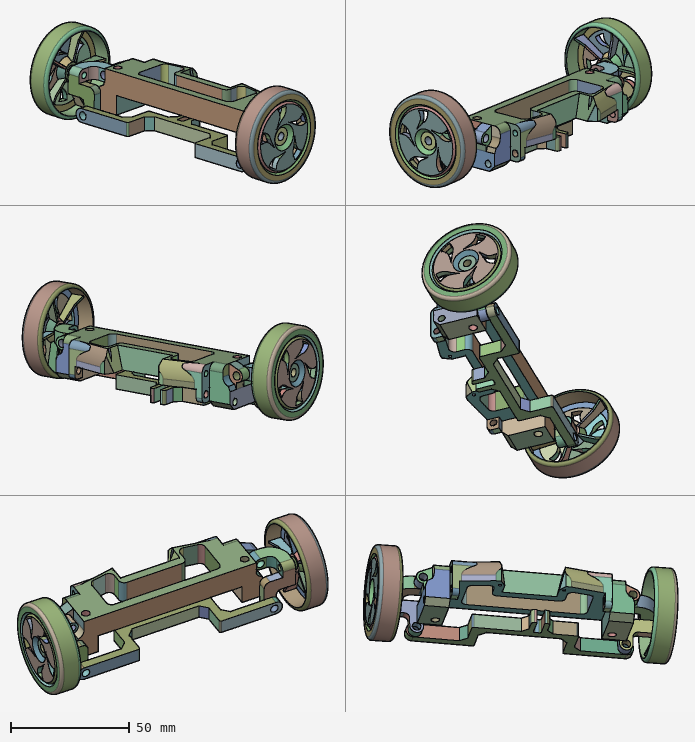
import cadquery as cq
import math


KINGPIN_X = 45.1
PIN_RADIUS = 1.8
EYE_RADIUS = 3.0
STEER_ANGLE = 0.7
STEER_ARM = 15.0
LEFT, RIGHT = -1, 1

TOP_Z, UNDERSIDE_Z = 4.9, -5.7
FRONT_Y = 2.3
BEAM_BACK_Y = 6.5
BLOCK_X = 41.2
BLOCK_BACK_Y = 22.0
BLOCK_INNER_X = 25.8
REAR_ROUNDING = 3.1
LEG_OUTER_X, LEG_INNER_X = 45.0, 34.4
LEG_BOTTOM_Z = -14.5
LEG_CHAMFER = 2.8
CLEARANCE_RADIUS = 3.9
LEG_SHOULDER_X, LEG_SHOULDER_Z = 44.1, -5.9
LEG_HOLE_Y, LEG_HOLE_Z, LEG_HOLE_DEPTH = 18.4, -11.2, 5.2
SIDE_HOLE_RADIUS = 1.5
LUG_FRONT_Y, LUG_BACK_Y = 12.0, 17.4
LUG_SLOPE_X, LUG_SLOPE_Z = 45.9, 2.8
MOUNT_X, MOUNT_Y = 38.0, 6.8

BRACKET_X = 34.4
BRACKET_BACK_Y = 27.6
BRACKET_INNER_X = 23.8
BRACKET_HOLE_Y, BRACKET_HOLE_Z, BRACKET_HOLE_RADIUS, BRACKET_HOLE_DEPTH = 24.6, 1.0, 1.3, 5.2
TAB_INNER_X, TAB_BOTTOM_Z, TAB_ROUNDING = 31.3, -11.7, 2.3
TAB_HOLE_Z = -8.1

WEDGE_ANGLE = 11.2
WEDGE_TOP_INSET = 3.0
WEDGE_ARC_START_Z = -2.8
WEDGE_BACK_Y = 30.4
WEDGE_LENGTH = 25.8
WEDGE_DEPTH = 15.5
WEDGE_TIP_X = 13.9
WEDGE_END_X, WEDGE_END_Y = 11.7, 26.7
WEDGE_END_TOP_X = 14.2
TIP_HOLE_X, TIP_HOLE_Y, TIP_HOLE_RADIUS = 13.8, 26.7, 0.6

REAR_BAR_FRONT_Y, REAR_BAR_BACK_Y = 16.6, 20.5
WINDOW_X, WINDOW_INNER_X = 27.1, 15.7
WINDOW_OUTER_Y, WINDOW_INNER_Y = 24.1, 26.0
WINDOW_ROUNDING = 2.6

WALL_INNER_X, WALL_OUTER_X = 51.0, 57.2
ARM_FRONT_Y, ARM_BACK_Y = 5.8, LUG_FRONT_Y
ARM_INNER_BEND = 3.1
PLATE_FRONT_Y, PLATE_BACK_Y = -3.2, 0.8
PLATE_BOTTOM_Z = -9.0
PLATE_CORNER = 2.8
PLATE_NOTCH = 2.3
AXLE_RADIUS = 1.4

ROD_BAR = 3.9
ROD_HEIGHT = 6.3
ROD_END_X = 49.0
ROD_LEG_X = 23.0
ROD_CROSS_BACK_Y = 10.0
ROD_CHAMFER = 3.1
ROD_END_ROUNDING = 3.1
ROD_CORNER = 0.8
FORK_X = -5.0
FORK_SLOT, FORK_WIDTH = 3.4, 8.0
FORK_BACK_Y = 19.1
FORK_SHOULDER = 2.8
FORK_ROUNDING = 1.3

WHEEL_OUTER_X = 64.2
TYRE_RADIUS, TYRE_WIDTH, TYRE_ROUNDING = 20.4, 10.0, 1.4
TYRE_BORE = 18.5
DISC_RADIUS, DISC_THICKNESS = 15.6, 2.6
GROOVE = 0.9
HUB_RADIUS, HUB_TIP_RADIUS = 5.8, 4.0
DISH_DEPTH = 1.8
HUB_END = 5.9
HUB_BORE, HUB_BOSS_RADIUS = 1.8, 2.8
WEB_THICKNESS, WEB_ANGLE = 1.0, 56.0
WEB_END, WEB_BEND_RADIUS, WEB_RIM_END = 6.7, 13.5, 8.5
SPOKE_COUNT = 5
OPENING_RADIUS, OPENING_SWEEP = 13.9, 20.5
OPENING_TIP = (5.9, 3.2)
OPENING_LEADING_BEND, OPENING_LEADING_MID = (9.2, 0.5), (10.6, -0.1)
OPENING_TRAILING_BEND, OPENING_TRAILING_MID = (8.4, -0.8), (10.2, -3.6)
LEFT_ROLL, RIGHT_ROLL = 1.1, 178.0


def along_x(x_start, x_end):
    """YZ sketch plane at x_start, with the length that reaches x_end."""
    return cq.Workplane("YZ").workplane(offset=x_start), x_end - x_start


def along_y(y_start):
    """XZ sketch plane at y_start; a negative extrusion runs toward +Y."""
    return cq.Workplane("XZ", origin=(0, y_start, 0))


def slab(x_start, x_end, y_start, y_end):
    """Box over the height of the chassis deck."""
    size = (x_end - x_start, y_end - y_start, TOP_Z - UNDERSIDE_Z)
    return cq.Workplane("XY").box(*size, centered=False).translate((x_start, y_start, UNDERSIDE_Z))


def rod_along_y(x, z, radius, y_start, y_end):
    return along_y(y_start).center(x, z).circle(radius).extrude(y_start - y_end)


def rod_along_x(y, z, radius, x_start, x_end):
    plane, length = along_x(x_start, x_end)
    return plane.center(y, z).circle(radius).extrude(length)


def both_sides(left_part):
    return left_part.union(left_part.mirror("YZ"))


def rounded_block(x_start, x_end, back_y):
    """Deck block whose upper rear edge is rounded."""
    block = slab(x_start, x_end, BEAM_BACK_Y, back_y)
    return block.edges(">Y and >Z").fillet(REAR_ROUNDING)


def bracket_wedge():
    """Slanted bracket back with a tall rounded rear face, trimmed to its plan outline."""
    rise = TOP_Z - WEDGE_ARC_START_Z
    radius = (rise**2 + WEDGE_TOP_INSET**2) / (2 * WEDGE_TOP_INSET)
    half_sweep = math.asin(rise / radius) / 2
    arc_mid = (-radius * (1 - math.cos(half_sweep)), WEDGE_ARC_START_Z + radius * math.sin(half_sweep))
    slant = math.radians(WEDGE_ANGLE)
    plane = cq.Plane(
        origin=(-BRACKET_X, BRACKET_BACK_Y - REAR_ROUNDING / 4, 0),
        xDir=(-math.sin(slant), math.cos(slant), 0),
        normal=(math.cos(slant), math.sin(slant), 0),
    )
    wedge = (
        cq.Workplane(plane)
        .moveTo(-WEDGE_DEPTH, UNDERSIDE_Z)
        .lineTo(0, UNDERSIDE_Z)
        .lineTo(0, WEDGE_ARC_START_Z)
        .threePointArc(arc_mid, (-WEDGE_TOP_INSET, TOP_Z))
        .lineTo(-WEDGE_DEPTH, TOP_Z)
        .close()
        .extrude(WEDGE_LENGTH)
    )
    plan = [
        (-BRACKET_X, REAR_BAR_FRONT_Y),
        (-BRACKET_X, WEDGE_BACK_Y),
        (-WEDGE_TIP_X, WEDGE_BACK_Y),
        (-WEDGE_END_X, WEDGE_END_Y),
        (-WEDGE_END_X, REAR_BAR_FRONT_Y),
    ]
    deck = cq.Workplane("XY").workplane(offset=UNDERSIDE_Z)
    return wedge.intersect(deck.polyline(plan).close().extrude(TOP_Z - UNDERSIDE_Z))


def wedge_end_slope():
    """Cutter that leans the inner end of the wedge outward toward the top."""
    slope = [(-WEDGE_END_TOP_X, TOP_Z), (-WEDGE_END_X, TOP_Z), (-WEDGE_END_X, UNDERSIDE_Z)]
    return along_y(REAR_BAR_BACK_Y).polyline(slope).close().extrude(REAR_BAR_BACK_Y - WEDGE_BACK_Y)


def leg():
    """Leg below the end block, scooped around the knuckle eye and chamfered at the lower rear."""
    scoop_z = -math.sqrt(CLEARANCE_RADIUS**2 - (KINGPIN_X - LEG_SHOULDER_X) ** 2)
    scoop_mid = CLEARANCE_RADIUS * math.sqrt(0.5)
    body = (
        along_y(FRONT_Y)
        .moveTo(-LEG_INNER_X, LEG_BOTTOM_Z)
        .lineTo(-LEG_OUTER_X, LEG_BOTTOM_Z)
        .lineTo(-LEG_OUTER_X, LEG_SHOULDER_Z)
        .lineTo(-LEG_SHOULDER_X, scoop_z)
        .threePointArc((scoop_mid - KINGPIN_X, -scoop_mid), (CLEARANCE_RADIUS - KINGPIN_X, 0))
        .lineTo(-LEG_INNER_X, 0)
        .close()
        .extrude(FRONT_Y - BLOCK_BACK_Y)
    )
    body = body.edges(">Y and <Z").chamfer(LEG_CHAMFER)
    hole_end = LEG_HOLE_DEPTH - LEG_OUTER_X
    return body.cut(rod_along_x(LEG_HOLE_Y, LEG_HOLE_Z, SIDE_HOLE_RADIUS, -LEG_OUTER_X, hole_end))


def kingpin_lug():
    """Lug behind the knuckle arm, sloping from the deck down to an eye around the kingpin."""
    return (
        along_y(LUG_FRONT_Y)
        .moveTo(-LEG_INNER_X, TOP_Z)
        .lineTo(-BLOCK_X, TOP_Z)
        .lineTo(-LUG_SLOPE_X, LUG_SLOPE_Z)
        .threePointArc((-KINGPIN_X - EYE_RADIUS, 0), (-KINGPIN_X, -EYE_RADIUS))
        .lineTo(-LEG_OUTER_X, LEG_SHOULDER_Z)
        .lineTo(-LEG_INNER_X, LEG_SHOULDER_Z)
        .close()
        .extrude(LUG_FRONT_Y - LUG_BACK_Y)
    )


def bracket_tab():
    """Thin tab that hangs below the bracket, with a cross hole."""
    plane, thickness = along_x(-BRACKET_X, -TAB_INNER_X)
    tab = (
        plane.moveTo(BLOCK_BACK_Y, TAB_BOTTOM_Z)
        .lineTo(BRACKET_BACK_Y, TAB_BOTTOM_Z)
        .lineTo(BRACKET_BACK_Y, UNDERSIDE_Z)
        .lineTo(BLOCK_BACK_Y, UNDERSIDE_Z)
        .close()
        .extrude(thickness)
    )
    tab = tab.edges(">Y and <Z").fillet(TAB_ROUNDING)
    return tab.cut(rod_along_x(BRACKET_HOLE_Y, TAB_HOLE_Z, SIDE_HOLE_RADIUS, -BRACKET_X, -TAB_INNER_X))


def deck_window():
    """Cutter for the opening through the deck, with a lobe at each end."""
    left = [
        (-WINDOW_INNER_X, REAR_BAR_FRONT_Y),
        (-WINDOW_INNER_X, WINDOW_INNER_Y),
        (-WINDOW_X, WINDOW_OUTER_Y),
        (-WINDOW_X, BEAM_BACK_Y),
    ]
    right = [(-x, y) for x, y in reversed(left)]
    deck = cq.Workplane("XY").workplane(offset=UNDERSIDE_Z)
    window = deck.polyline(left + right).close().extrude(TOP_Z - UNDERSIDE_Z)
    return window.edges("|Z").fillet(WINDOW_ROUNDING)


def make_chassis():
    half = slab(-BLOCK_X, 0, FRONT_Y, BEAM_BACK_Y)
    half = half.union(slab(-WINDOW_INNER_X, 0, REAR_BAR_FRONT_Y, REAR_BAR_BACK_Y))
    half = half.union(rounded_block(-BLOCK_X, -BLOCK_INNER_X, BLOCK_BACK_Y))
    half = half.union(rounded_block(-BRACKET_X, -BRACKET_INNER_X, BRACKET_BACK_Y))
    half = half.union(bracket_wedge().cut(wedge_end_slope()))
    half = half.union(leg()).union(kingpin_lug()).union(bracket_tab())

    half = half.cut(rod_along_y(-KINGPIN_X, 0, PIN_RADIUS, LUG_FRONT_Y, LUG_BACK_Y))
    bracket_hole_end = BRACKET_HOLE_DEPTH - BRACKET_X
    half = half.cut(
        rod_along_x(BRACKET_HOLE_Y, BRACKET_HOLE_Z, BRACKET_HOLE_RADIUS, -BRACKET_X, bracket_hole_end)
    )
    below = cq.Workplane("XY").workplane(offset=LEG_BOTTOM_Z)
    height = TOP_Z - LEG_BOTTOM_Z
    half = half.cut(below.center(-MOUNT_X, MOUNT_Y).circle(PIN_RADIUS).extrude(height))
    half = half.cut(below.center(-TIP_HOLE_X, TIP_HOLE_Y).circle(TIP_HOLE_RADIUS).extrude(height))
    return both_sides(half).cut(deck_window())


def make_tie_rod():
    """Cranked bar between the knuckles with a fork behind the middle, shifted by the steering."""
    outer_back_y = PLATE_FRONT_Y
    outer_front_y = outer_back_y - ROD_BAR
    cross_front_y = ROD_CROSS_BACK_Y - ROD_BAR
    leg_inner_x = ROD_LEG_X - ROD_BAR
    left_front = [
        (-ROD_END_X, outer_back_y),
        (-ROD_END_X, outer_front_y),
        (-leg_inner_x, outer_front_y),
        (-leg_inner_x, cross_front_y - ROD_CHAMFER),
        (ROD_CHAMFER - leg_inner_x, cross_front_y),
    ]
    right_back = [
        (ROD_LEG_X + ROD_CHAMFER, outer_back_y),
        (ROD_LEG_X, outer_back_y + ROD_CHAMFER),
        (ROD_LEG_X, ROD_CROSS_BACK_Y),
    ]
    right_front = [(-x, y) for x, y in reversed(left_front)]
    left_back = [(-x, y) for x, y in reversed(right_back)]
    bottom = cq.Workplane("XY").workplane(offset=-STEER_ARM - ROD_HEIGHT / 2)
    rod = bottom.polyline(left_front + right_front + right_back + left_back).close().extrude(ROD_HEIGHT)
    for side in (LEFT, RIGHT):
        for corner in ((leg_inner_x, outer_front_y), (ROD_LEG_X, ROD_CROSS_BACK_Y)):
            point = (side * corner[0], corner[1], -STEER_ARM)
            rod = rod.edges(cq.selectors.NearestToPointSelector(point)).fillet(ROD_CORNER)
    rod = rod.faces("<X or >X").edges("|Y").fillet(ROD_END_ROUNDING)

    half_width = FORK_WIDTH / 2
    fork_outline = [
        (-half_width - FORK_SHOULDER, ROD_CROSS_BACK_Y),
        (-half_width, ROD_CROSS_BACK_Y + FORK_SHOULDER),
        (-half_width, FORK_BACK_Y),
        (half_width, FORK_BACK_Y),
        (half_width, ROD_CROSS_BACK_Y + FORK_SHOULDER),
        (half_width + FORK_SHOULDER, ROD_CROSS_BACK_Y),
    ]
    fork = bottom.polyline(fork_outline).close().extrude(ROD_HEIGHT)
    fork = fork.faces(">Y").edges("|Z").fillet(FORK_ROUNDING)
    slot_length = FORK_BACK_Y - ROD_CROSS_BACK_Y
    slot = bottom.center(0, ROD_CROSS_BACK_Y + slot_length / 2).rect(FORK_SLOT, slot_length)
    slot = slot.extrude(ROD_HEIGHT).faces("<Y").edges("|Z").fillet(ROD_CORNER)
    rod = rod.union(fork.cut(slot).translate((FORK_X, 0, 0)))

    for side in (LEFT, RIGHT):
        pin = rod_along_y(side * KINGPIN_X, -STEER_ARM, PIN_RADIUS, outer_front_y, outer_back_y)
        rod = rod.cut(pin)
    return rod.translate((-STEER_ARM * math.sin(math.radians(STEER_ANGLE)), 0, 0))


def steered(part, side):
    """Turn a part of one side about its kingpin by the steering angle."""
    x = side * KINGPIN_X
    return part.rotate((x, 0, 0), (x, 1, 0), STEER_ANGLE)


def knuckle_arm():
    """Hook that runs from the wheel side wall back and around to the kingpin eye."""
    outer_bend = WALL_OUTER_X - WALL_INNER_X + ARM_INNER_BEND
    bend_x = ARM_INNER_BEND - WALL_INNER_X
    bend_y = ARM_FRONT_Y - ARM_INNER_BEND
    diagonal = math.sqrt(0.5)
    hook = (
        cq.Workplane("XY")
        .workplane(offset=-EYE_RADIUS)
        .moveTo(-WALL_INNER_X, PLATE_FRONT_Y)
        .lineTo(-WALL_OUTER_X, PLATE_FRONT_Y)
        .lineTo(-WALL_OUTER_X, bend_y)
        .threePointArc(
            (bend_x - outer_bend * diagonal, bend_y + outer_bend * diagonal), (bend_x, ARM_BACK_Y)
        )
        .lineTo(-KINGPIN_X, ARM_BACK_Y)
        .lineTo(-KINGPIN_X, ARM_FRONT_Y)
        .lineTo(bend_x, ARM_FRONT_Y)
        .threePointArc(
            (bend_x - ARM_INNER_BEND * diagonal, bend_y + ARM_INNER_BEND * diagonal),
            (-WALL_INNER_X, bend_y),
        )
        .close()
        .extrude(2 * EYE_RADIUS)
    )
    hook = hook.edges("<Y and >Z").fillet(EYE_RADIUS)
    return hook.union(rod_along_y(-KINGPIN_X, 0, EYE_RADIUS, ARM_FRONT_Y, ARM_BACK_Y))


def steering_plate():
    """Front plate that drops from the wheel side wall to the tie rod eye."""
    inner_x = EYE_RADIUS - KINGPIN_X
    outer_x = -EYE_RADIUS - KINGPIN_X
    outline = [
        (-WALL_OUTER_X, -EYE_RADIUS),
        (inner_x, -EYE_RADIUS),
        (inner_x, -STEER_ARM),
        (outer_x, -STEER_ARM),
        (outer_x, PLATE_BOTTOM_Z),
        (-WALL_OUTER_X, PLATE_BOTTOM_Z),
    ]
    plate = along_y(PLATE_FRONT_Y).polyline(outline).close().extrude(PLATE_FRONT_Y - PLATE_BACK_Y)
    corner = cq.selectors.NearestToPointSelector((inner_x, 0, -EYE_RADIUS))
    notch = cq.selectors.NearestToPointSelector((outer_x, 0, PLATE_BOTTOM_Z))
    plate = plate.edges("|Y").edges(corner).fillet(PLATE_CORNER)
    plate = plate.edges("|Y").edges(notch).fillet(PLATE_NOTCH)
    return plate.union(rod_along_y(-KINGPIN_X, -STEER_ARM, EYE_RADIUS, PLATE_FRONT_Y, PLATE_BACK_Y))


def make_knuckle(side):
    knuckle = knuckle_arm().union(steering_plate())
    knuckle = knuckle.cut(rod_along_y(-KINGPIN_X, 0, PIN_RADIUS, ARM_FRONT_Y, ARM_BACK_Y))
    knuckle = knuckle.cut(rod_along_y(-KINGPIN_X, -STEER_ARM, PIN_RADIUS, PLATE_FRONT_Y, PLATE_BACK_Y))
    knuckle = knuckle.cut(rod_along_x(0, 0, AXLE_RADIUS, -WALL_OUTER_X, -WALL_INNER_X))
    if side == RIGHT:
        knuckle = knuckle.mirror("YZ")
    return steered(knuckle, side)


def revolved(profile):
    """Ring about the X axis from points of distance along the axis and radius."""
    return cq.Workplane("XZ").polyline(profile).close().revolve(360, (0, 0, 0), (1, 0, 0))


def placed_wheel(part, side):
    """Move a wheel part, built with its outer face at X = 0 facing -X, to its knuckle."""
    part = part.translate((-WHEEL_OUTER_X, 0, 0))
    if side == RIGHT:
        part = part.rotate((0, 0, 0), (0, 0, 1), 180)
    roll = LEFT_ROLL if side == LEFT else RIGHT_ROLL
    return steered(part.rotate((0, 0, 0), (1, 0, 0), roll), side)


def around_axle(part):
    """Copies of a part spaced evenly about the axle, one for each spoke."""
    return [part.rotate((0, 0, 0), (1, 0, 0), i * 360 / SPOKE_COUNT) for i in range(SPOKE_COUNT)]


def make_tyre(side):
    """Tyre with an inward lip that carries the rim at its outer face."""
    tyre = revolved([
        (0, DISC_RADIUS + GROOVE),
        (0, TYRE_RADIUS),
        (TYRE_WIDTH, TYRE_RADIUS),
        (TYRE_WIDTH, TYRE_BORE),
        (DISC_THICKNESS, TYRE_BORE),
        (DISC_THICKNESS, DISC_RADIUS),
        (GROOVE, DISC_RADIUS),
    ])
    rim_edges = cq.selectors.RadiusNthSelector(-1)
    tyre = tyre.edges("%CIRCLE").edges(rim_edges).fillet(TYRE_ROUNDING)
    return placed_wheel(tyre, side)


def swirl_opening():
    """Cutter for one hooked opening between two swirl spokes, as seen from the outer face."""
    sweep = math.radians(OPENING_SWEEP)
    outer_start = (OPENING_RADIUS, 0)
    outer_mid = (OPENING_RADIUS * math.cos(sweep / 2), -OPENING_RADIUS * math.sin(sweep / 2))
    outer_end = (OPENING_RADIUS * math.cos(sweep), -OPENING_RADIUS * math.sin(sweep))
    cutter = (
        cq.Workplane(cq.Plane(origin=(0, 0, 0), xDir=(0, -1, 0), normal=(-1, 0, 0)))
        .moveTo(*outer_start)
        .threePointArc(outer_mid, outer_end)
        .threePointArc(OPENING_TRAILING_MID, OPENING_TRAILING_BEND)
        .lineTo(*OPENING_TIP)
        .lineTo(*OPENING_LEADING_BEND)
        .threePointArc(OPENING_LEADING_MID, outer_start)
        .close()
    )
    return cutter.extrude(-HUB_END)


def stiffening_web():
    """Radial web behind the disc, from the hub to the tyre bore, deeper toward its outer end."""
    profile = [
        (DISH_DEPTH, HUB_TIP_RADIUS),
        (HUB_END, HUB_TIP_RADIUS),
        (WEB_END, WEB_BEND_RADIUS),
        (WEB_RIM_END, TYRE_BORE),
        (DISC_THICKNESS, TYRE_BORE),
        (DISC_THICKNESS, DISC_RADIUS - GROOVE),
        (DISH_DEPTH, DISC_RADIUS - GROOVE),
    ]
    web = cq.Workplane("XZ").polyline(profile).close().extrude(WEB_THICKNESS / 2, both=True)
    bore = rod_along_x(0, 0, TYRE_BORE, 0, TYRE_WIDTH)
    return web.intersect(bore).rotate((0, 0, 0), (1, 0, 0), WEB_ANGLE)


def make_rim(side):
    """Disc with five swirl openings, stiffening webs and a dished hub that reaches the knuckle."""
    boss_end = WHEEL_OUTER_X - WALL_OUTER_X
    rim = revolved([
        (DISH_DEPTH, HUB_BORE),
        (DISH_DEPTH, HUB_TIP_RADIUS),
        (0, HUB_RADIUS),
        (0, DISC_RADIUS - GROOVE),
        (GROOVE, DISC_RADIUS),
        (DISC_THICKNESS, DISC_RADIUS),
        (DISC_THICKNESS, HUB_RADIUS),
        (HUB_END, HUB_TIP_RADIUS),
        (HUB_END, HUB_BOSS_RADIUS),
        (boss_end, HUB_BOSS_RADIUS),
        (boss_end, HUB_BORE),
    ])
    for opening in around_axle(swirl_opening()):
        rim = rim.cut(opening)
    for web in around_axle(stiffening_web()):
        rim = rim.union(web)
    return placed_wheel(rim, side)


chassis = make_chassis()
tie_rod = make_tie_rod()
bodies = [chassis.solids().val(), tie_rod.solids().val()]
for side in (LEFT, RIGHT):
    bodies.append(make_knuckle(side).solids().val())
    bodies.append(make_rim(side).solids().val())
    bodies.append(make_tyre(side).solids().val())

result = cq.Compound.makeCompound(bodies)